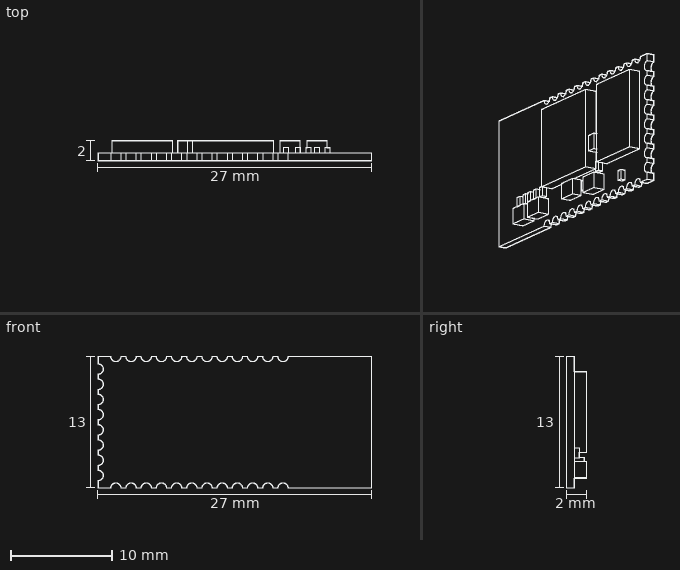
import cadquery as cq

BOARD_LENGTH = 27.0
BOARD_HEIGHT = 13.0
BOARD_THICKNESS = 0.8

NOTCH_RADIUS = 0.5
NOTCH_PITCH = 1.5
LONG_EDGE_NOTCHES = 12
LONG_EDGE_FIRST_X = 1.75
LEFT_EDGE_NOTCHES = 8
LEFT_EDGE_FIRST_Z = (BOARD_HEIGHT - (LEFT_EDGE_NOTCHES - 1) * NOTCH_PITCH) / 2

TALL = 1.2
MEDIUM = 1.0
LOW = 0.5

CHIP_ROW_Z = 3.5
CHIP_HEIGHT = 8.0
LEFT_CHIP_X = 1.35
LEFT_CHIP_LENGTH = 6.0
MAIN_CHIP_X = 9.33
MAIN_CHIP_LENGTH = 8.0

NARROW_X = 7.85
NARROW_Z = 5.0
NARROW_LENGTH = 0.95
NARROW_HEIGHT = 1.6

LOWER_ROW_Z = 0.97
CRYSTAL_LENGTH = 2.0
CRYSTAL_HEIGHT = 1.6
RIGHT_CRYSTAL_Z = 1.03
TALL_CRYSTALS = ((NARROW_X, LOWER_ROW_Z), (17.95, RIGHT_CRYSTAL_Z), (20.6, RIGHT_CRYSTAL_Z))
MEDIUM_CRYSTAL_X = 12.0
MEDIUM_CRYSTAL_TOP_Z = 3.03

PASSIVE_LENGTH = 1.0
PASSIVE_WIDTH = 0.5
UPRIGHT_PASSIVE_XS = (8.1, 18.3, 19.46, 20.5, 21.35, 22.4)
UPPER_PASSIVE_Z = 2.95
LEFT_PASSIVE_X = 4.0
MIDDLE_PASSIVE_X = 10.7
MIDDLE_PASSIVE_TOP_Z = 2.63


def make_board():
    """Plain board with the half-round edge notches cut through it."""
    board = cq.Workplane("XY").box(BOARD_LENGTH, BOARD_THICKNESS, BOARD_HEIGHT, centered=False)
    long_edge_xs = [LONG_EDGE_FIRST_X + i * NOTCH_PITCH for i in range(LONG_EDGE_NOTCHES)]
    left_edge_zs = [LEFT_EDGE_FIRST_Z + i * NOTCH_PITCH for i in range(LEFT_EDGE_NOTCHES)]
    centers = [(x, z) for x in long_edge_xs for z in (0, BOARD_HEIGHT)]
    centers += [(0, z) for z in left_edge_zs]
    notches = cq.Workplane("XZ").pushPoints(centers).circle(NOTCH_RADIUS).extrude(-BOARD_THICKNESS)
    return board.cut(notches)


def component(x, z, length, height, rise):
    """Block on the +Y face of the board with its lower left corner at (x, z)."""
    block = cq.Workplane("XY").box(length, BOARD_THICKNESS + rise, height, centered=False)
    return block.translate((x, 0, z))


def make_components():
    """All components carried by the board."""
    parts = [
        component(LEFT_CHIP_X, CHIP_ROW_Z, LEFT_CHIP_LENGTH, CHIP_HEIGHT, TALL),
        component(MAIN_CHIP_X, CHIP_ROW_Z, MAIN_CHIP_LENGTH, CHIP_HEIGHT, TALL),
        component(NARROW_X, NARROW_Z, NARROW_LENGTH, NARROW_HEIGHT, TALL),
    ]
    for x, z in TALL_CRYSTALS:
        parts.append(component(x, z, CRYSTAL_LENGTH, CRYSTAL_HEIGHT, TALL))
    medium_z = MEDIUM_CRYSTAL_TOP_Z - CRYSTAL_HEIGHT
    parts.append(component(MEDIUM_CRYSTAL_X, medium_z, CRYSTAL_LENGTH, CRYSTAL_HEIGHT, MEDIUM))

    for x in UPRIGHT_PASSIVE_XS:
        parts.append(component(x, UPPER_PASSIVE_Z, PASSIVE_WIDTH, PASSIVE_LENGTH, LOW))
    parts.append(component(LEFT_PASSIVE_X, LOWER_ROW_Z, PASSIVE_WIDTH, PASSIVE_LENGTH, LOW))
    middle_z = MIDDLE_PASSIVE_TOP_Z - PASSIVE_LENGTH
    parts.append(component(MIDDLE_PASSIVE_X, middle_z, PASSIVE_WIDTH, PASSIVE_LENGTH, LOW))
    return parts


result = make_board()
for part in make_components():
    result = result.union(part)